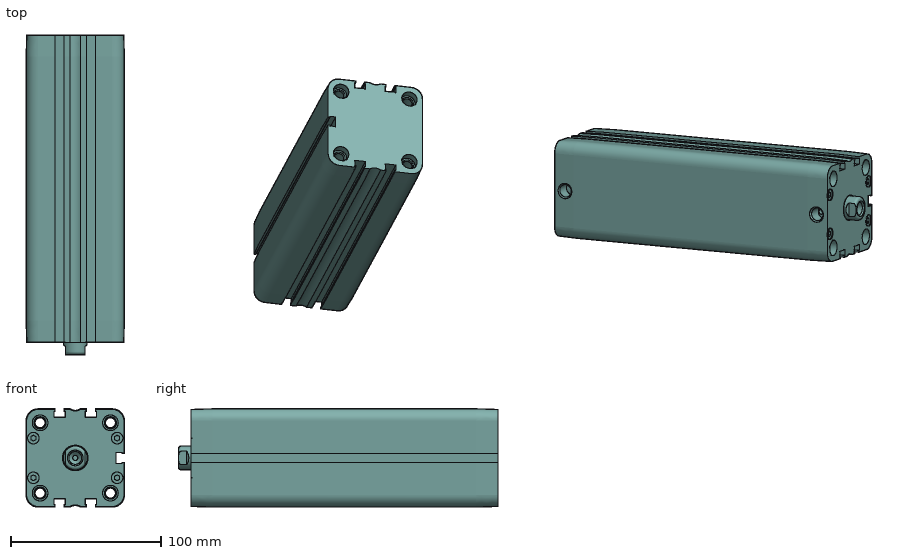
import cadquery as cq
import math

overall_length = 213.0
rod_protrusion = 8.3
cap_length = 14.5
half_width = 32.8
corner_radius = 8.0
cap_inset = 0.5

slot_offset = 10.5
slot_neck_width = 6.0
slot_wide_width = 7.2
slot_lip_depth = 1.7
slot_depth = 5.5
groove_width = 7.0
groove_depth = 1.0

mount_hole_offset = 23.5
mount_hole_diameter = 6.5
mount_countersink_diameter = 8.0
mount_recess_diameter = 10.5
mount_recess_depth = 5.8

screw_offset_x = 28.0
screw_offset_z = 13.2
screw_recess_diameter = 7.7
screw_recess_depth = 0.6
socket_across_flats = 3.5
socket_depth = 2.1

port_inset = 7.9
port_diameter = 8.5
port_mouth_diameter = 10.5
port_depth = 10.6
passage_diameter = 3.5
passage_offset = 2.0
passage_depth = 4.3

rod_diameter = 16.0
rod_seat_depth = cap_length
rod_mouth_diameter = 17.0
rod_tip_radius = 2.0
rod_flat_width = 13.2
rod_flat_length = 5.5
rod_hole_mouth_diameter = 10.5
rod_hole_diameter = 8.5
rod_hole_depth = 10.6
drill_point_diameter = 3.5

tip_y = -overall_length / 2
front_y = tip_y + rod_protrusion
rear_y = overall_length / 2
middle_y = (front_y + rear_y) / 2
housing_length = rear_y - front_y
tube_length = housing_length - 2 * cap_length


def cross_plane(y, direction=1, x=0.0, z=0.0):
    """Plane across the Y axis, facing +Y or -Y."""
    return cq.Plane(origin=(x, y, z), xDir=(1, 0, 0), normal=(0, direction, 0))


def turned_cutter(steps, plane):
    """Round cutter along a plane's normal, from its (radius, depth) outline."""
    outline = cq.Workplane("XY").moveTo(0, steps[0][1])
    for radius, depth in steps:
        outline = outline.lineTo(radius, depth)
    outline = outline.lineTo(0, steps[-1][1]).close()
    cutter = outline.revolve(360, (0, 0, 0), (0, 1, 0)).rotate((0, 0, 0), (1, 0, 0), 90)
    return cutter.val().moved(cq.Location(plane))


def profile_outline():
    """Rounded square with the round grooves in its top and bottom sides."""
    groove_radius = ((groove_width / 2) ** 2 + groove_depth ** 2) / (2 * groove_depth)
    groove_axis = half_width - groove_depth + groove_radius
    return (
        cq.Sketch()
        .rect(2 * half_width, 2 * half_width)
        .vertices()
        .fillet(corner_radius)
        .reset()
        .push([(0, groove_axis), (0, -groove_axis)])
        .circle(groove_radius, mode="s")
        .reset()
    )


def profile_block(start_y, direction, length, draft=0.0):
    return cq.Workplane(cross_plane(start_y, direction)).placeSketch(profile_outline()).extrude(length, taper=draft)


def housing_blank():
    draft = math.degrees(math.atan(cap_inset / cap_length))
    tube = profile_block(front_y + cap_length, 1, tube_length)
    front_cap = profile_block(front_y + cap_length, -1, cap_length, draft)
    rear_cap = profile_block(rear_y - cap_length, 1, cap_length, draft)
    return tube.union(front_cap).union(rear_cap)


def slot_cutter(offset, turn):
    """T-shaped slot in the +Z side, turned about the Y axis by an angle in degrees."""
    wide_depth = slot_depth - slot_lip_depth
    neck = cq.Workplane("XY").box(slot_neck_width, housing_length, slot_depth)
    wide = cq.Workplane("XY").box(slot_wide_width, housing_length, wide_depth)
    wide = wide.translate((0, 0, (wide_depth - slot_depth) / 2))
    slot = neck.union(wide).translate((offset, middle_y, half_width - slot_depth / 2))
    return slot.rotate((0, 0, 0), (0, 1, 0), turn)


def mount_recess_cutter(plane):
    """Flat-bottomed recess with a countersink into the through hole."""
    countersink_depth = (mount_countersink_diameter - mount_hole_diameter) / 2
    return turned_cutter(
        [
            (mount_recess_diameter / 2, 0),
            (mount_recess_diameter / 2, mount_recess_depth),
            (mount_countersink_diameter / 2, mount_recess_depth),
            (mount_hole_diameter / 2, mount_recess_depth + countersink_depth),
        ],
        plane,
    )


def mount_hole_cutter(x, z):
    hole = cq.Workplane(cross_plane(front_y, 1, x, z)).circle(mount_hole_diameter / 2).extrude(housing_length)
    front_recess = mount_recess_cutter(cross_plane(front_y, 1, x, z))
    rear_recess = mount_recess_cutter(cross_plane(rear_y, -1, x, z))
    return hole.union(cq.Workplane(front_recess)).union(cq.Workplane(rear_recess))


def screw_cutter(x, z):
    """Shallow recess down to the head of a cap screw, with its hexagon socket."""
    recess = cq.Workplane(cross_plane(front_y, 1, x, z)).circle(screw_recess_diameter / 2).extrude(screw_recess_depth)
    across_corners = socket_across_flats / math.cos(math.pi / 6)
    socket = (
        cq.Workplane(cross_plane(front_y, 1, x, z))
        .transformed(rotate=(0, 0, 90))
        .polygon(6, across_corners)
        .extrude(screw_recess_depth + socket_depth)
    )
    return recess.union(socket)


def port_cutter(y, inward):
    """Chamfered port bored in from the -X side, with an air passage in its floor."""
    chamfer = (port_mouth_diameter - port_diameter) / 2
    cap_face_x = -half_width + cap_inset * (1 - port_inset / cap_length)
    port_plane = cq.Plane(origin=(cap_face_x, y, 0), xDir=(0, 1, 0), normal=(1, 0, 0))
    port = turned_cutter(
        [
            (port_mouth_diameter / 2, -cap_inset),
            (port_mouth_diameter / 2, 0),
            (port_diameter / 2, chamfer),
            (port_diameter / 2, port_depth),
        ],
        port_plane,
    )
    passage = (
        cq.Workplane(port_plane)
        .center(inward * passage_offset, 0)
        .circle(passage_diameter / 2)
        .extrude(port_depth + passage_depth)
    )
    return passage.union(cq.Workplane(port))


def rod_seat_cutter():
    chamfer = (rod_mouth_diameter - rod_diameter) / 2
    return turned_cutter(
        [
            (rod_mouth_diameter / 2, 0),
            (rod_diameter / 2, chamfer),
            (rod_diameter / 2, rod_seat_depth),
        ],
        cross_plane(front_y),
    )


def make_housing():
    body = housing_blank()
    for offset, turn in [(slot_offset, 0), (-slot_offset, 0), (slot_offset, 180), (-slot_offset, 180), (0, 90)]:
        body = body.cut(slot_cutter(offset, turn))
    for side_x in (-1, 1):
        for side_z in (-1, 1):
            body = body.cut(mount_hole_cutter(side_x * mount_hole_offset, side_z * mount_hole_offset))
            body = body.cut(screw_cutter(side_x * screw_offset_x, side_z * screw_offset_z))
    body = body.cut(port_cutter(front_y + port_inset, 1))
    body = body.cut(port_cutter(rear_y - port_inset, -1))
    return body.cut(cq.Workplane(rod_seat_cutter()))


def flat_cutter(side):
    """Wrench flat at the tip, running out to the full diameter on a 45 degree ramp."""
    flat_x = side * rod_flat_width / 2
    outer_x = side * rod_diameter / 2
    flat_end_y = tip_y + rod_flat_length
    ramp_end_y = flat_end_y + (rod_diameter - rod_flat_width) / 2
    return (
        cq.Workplane("XY")
        .polyline([(flat_x, tip_y), (flat_x, flat_end_y), (outer_x, ramp_end_y), (outer_x, tip_y)])
        .close()
        .extrude(rod_diameter / 2, both=True)
    )


def rod_hole_cutter():
    """Hole in the rod tip with a chamfered mouth and a 90 degree drill point."""
    mouth_chamfer = (rod_hole_mouth_diameter - rod_hole_diameter) / 2
    drill_point_length = (rod_hole_diameter - drill_point_diameter) / 2
    return turned_cutter(
        [
            (rod_hole_mouth_diameter / 2, 0),
            (rod_hole_diameter / 2, mouth_chamfer),
            (rod_hole_diameter / 2, rod_hole_depth),
            (drill_point_diameter / 2, rod_hole_depth + drill_point_length),
        ],
        cross_plane(tip_y),
    )


def make_rod():
    rod_length = rod_protrusion + rod_seat_depth
    body = cq.Workplane(cross_plane(tip_y)).circle(rod_diameter / 2).extrude(rod_length)
    body = body.faces("<Y").edges().fillet(rod_tip_radius)
    for side in (-1, 1):
        body = body.cut(flat_cutter(side))
    return body.cut(cq.Workplane(rod_hole_cutter()))


housing = make_housing()
piston_rod = make_rod()

result = cq.Compound.makeCompound([housing.val(), piston_rod.val()])